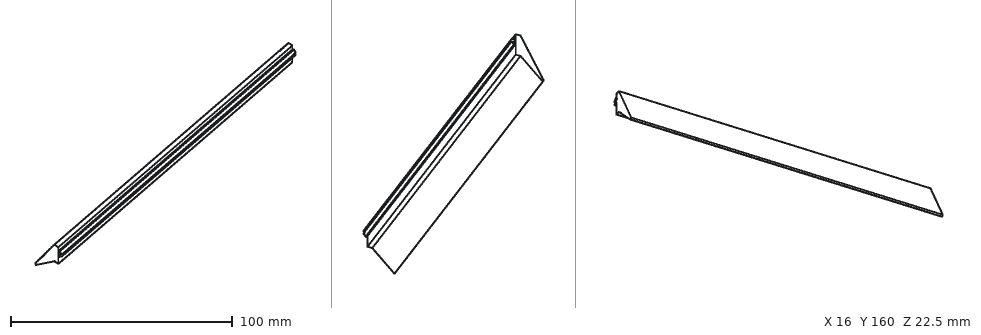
import cadquery as cq

length = 160.0
width = 16.0
height = 22.5

barb_reach = 2.0
back_x = width - barb_reach
land_width = 2.4
block_height = 11.5
block_left = back_x - land_width
block_bottom = height - block_height

tip_x = block_left - block_bottom
tip_height = 1.0

barb_height = 1.5
slot_width = 0.6
slot_edge_x = back_x + slot_width
barb_web = 0.72
barb_gap = 1.5
upper_barb_drop = 3.4
upper_barb_z = height - upper_barb_drop
lower_barb_z = upper_barb_z - barb_gap


def extrude_profile(points):
    """Extrude an XZ outline along Y, centred on the XZ plane."""
    return cq.Workplane("XZ").polyline(points).close().extrude(length / 2, both=True)


def barb(flat_z, direction):
    """Hooked barb rising from its flat side; direction is 1 for up and -1 for down."""
    web_z = flat_z + direction * barb_web
    crest_z = flat_z + direction * barb_height
    return extrude_profile([
        (back_x, flat_z),
        (width, flat_z),
        (slot_edge_x, crest_z),
        (slot_edge_x, web_z),
        (back_x, web_z),
    ])


blade = extrude_profile([
    (0, tip_height),
    (tip_x, 0),
    (block_left, block_bottom),
    (back_x, block_bottom),
    (back_x, height),
    (block_left, height),
])

upper_barb = barb(upper_barb_z, 1)
lower_barb = barb(lower_barb_z, -1)

result = blade.union(upper_barb).union(lower_barb)